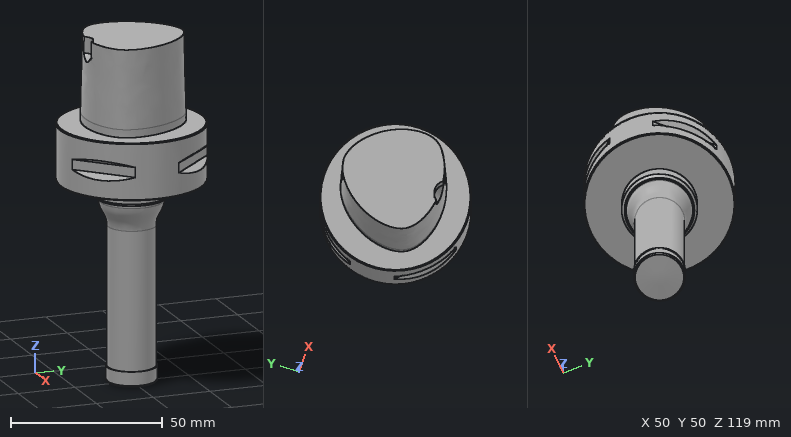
import cadquery as cq
import math

TOTAL_LENGTH = 119.0
FLANGE_TOP_Z = 89.0
FLANGE_BOTTOM_Z = 69.3
COLLAR_CHAMFER_Z = 64.4
NECK_TOP_Z = 63.4
BLEND_TOP_Z = 62.6
SHAFT_TOP_Z = 53.9
HEAD_TOP_Z = 5.6

FLANGE_DIAMETER = 50.0
COLLAR_DIAMETER = 25.0
NECK_DIAMETER = 22.0
SHAFT_DIAMETER = 16.4
FLANGE_CHAMFER = 0.4
COLLAR_CHAMFER_WIDTH = 1.0

LOBE_RADIUS = 17.5
LOBE_HEIGHT = 1.2
LOBE_POINTS = 60
SHANK_BAND_HEIGHT = 2.9
TAPER_RATIO = 1 / 20

GROOVE_COUNT = 4
GROOVE_FIRST_ANGLE = 45.0
GROOVE_CENTER_Z = 79.0
GROOVE_FLOOR_DISTANCE = 22.3
GROOVE_FLOOR_HEIGHT = 3.5
GROOVE_WALL_ANGLE = 31.0

NOTCH_RADIUS = 4.2
NOTCH_FLOOR_Y = -13.7
NOTCH_DEPTH = 5.6

HEAD_DIAMETER = 17.0
HEAD_CHAMFER_WIDTH = 0.5
HEAD_CHAMFER_TOP = 0.8
HEAD_CONE_HEIGHT = 0.4


def turned_body():
    """Flange, collar, curved neck and shaft as one revolved profile."""
    flange_radius = FLANGE_DIAMETER / 2
    collar_radius = COLLAR_DIAMETER / 2
    neck_radius = NECK_DIAMETER / 2
    shaft_radius = SHAFT_DIAMETER / 2
    along_axis = (0, -1)
    return (
        cq.Workplane("XZ")
        .moveTo(0, FLANGE_TOP_Z)
        .lineTo(flange_radius - FLANGE_CHAMFER, FLANGE_TOP_Z)
        .lineTo(flange_radius, FLANGE_TOP_Z - FLANGE_CHAMFER)
        .lineTo(flange_radius, FLANGE_BOTTOM_Z + FLANGE_CHAMFER)
        .lineTo(flange_radius - FLANGE_CHAMFER, FLANGE_BOTTOM_Z)
        .lineTo(collar_radius, FLANGE_BOTTOM_Z)
        .lineTo(collar_radius, COLLAR_CHAMFER_Z)
        .lineTo(collar_radius - COLLAR_CHAMFER_WIDTH, NECK_TOP_Z)
        .lineTo(neck_radius, NECK_TOP_Z)
        .lineTo(neck_radius, BLEND_TOP_Z)
        .spline([(shaft_radius, SHAFT_TOP_Z)], tangents=[along_axis, along_axis], includeCurrent=True)
        .lineTo(shaft_radius, HEAD_TOP_Z)
        .lineTo(0, HEAD_TOP_Z)
        .close()
        .revolve(360, (0, 0, 0), (0, 1, 0))
    )


def lobed_outline(radius, z):
    """Closed three-lobed curve of constant width at height z, with one lobe pointing along +Y."""
    points = []
    for index in range(LOBE_POINTS):
        angle = 2 * math.pi * index / LOBE_POINTS
        distance = radius + LOBE_HEIGHT * math.cos(3 * angle)
        change = -3 * LOBE_HEIGHT * math.sin(3 * angle)
        x = distance * math.sin(angle) + change * math.cos(angle)
        y = distance * math.cos(angle) - change * math.sin(angle)
        points.append(cq.Vector(x, y, z))
    return cq.Wire.assembleEdges([cq.Edge.makeSpline(points, periodic=True)])


def lobed_shank():
    """Straight band at the flange, then a taper up to the end face."""
    taper_start_z = FLANGE_TOP_Z + SHANK_BAND_HEIGHT
    end_radius = LOBE_RADIUS - (TOTAL_LENGTH - taper_start_z) * TAPER_RATIO / 2
    band_outline = lobed_outline(LOBE_RADIUS, FLANGE_TOP_Z)
    band = cq.Solid.extrudeLinear(band_outline, [], cq.Vector(0, 0, SHANK_BAND_HEIGHT))
    taper = cq.Solid.makeLoft(
        [lobed_outline(LOBE_RADIUS, taper_start_z), lobed_outline(end_radius, TOTAL_LENGTH)], True
    )
    return cq.Workplane(band).union(cq.Workplane(taper))


def shank_notch():
    """Drilled pocket with a 90 degree conical bottom, open to the -Y side."""
    shoulder_z = TOTAL_LENGTH - NOTCH_DEPTH
    return (
        cq.Workplane("XZ")
        .polyline([
            (0, TOTAL_LENGTH),
            (NOTCH_RADIUS, TOTAL_LENGTH),
            (NOTCH_RADIUS, shoulder_z),
            (0, shoulder_z - NOTCH_RADIUS),
        ])
        .close()
        .revolve(360, (0, 0, 0), (0, 1, 0))
        .translate((0, NOTCH_FLOOR_Y - NOTCH_RADIUS, 0))
    )


def gripper_groove(angle):
    """Straight flat-bottomed groove with sloping walls, turned to the given angle."""
    outer_distance = FLANGE_DIAMETER / 2
    depth = outer_distance - GROOVE_FLOOR_DISTANCE
    floor_half = GROOVE_FLOOR_HEIGHT / 2
    mouth_half = floor_half + depth * math.tan(math.radians(GROOVE_WALL_ANGLE))
    return (
        cq.Workplane("XZ")
        .polyline([
            (GROOVE_FLOOR_DISTANCE, GROOVE_CENTER_Z - floor_half),
            (outer_distance, GROOVE_CENTER_Z - mouth_half),
            (outer_distance, GROOVE_CENTER_Z + mouth_half),
            (GROOVE_FLOOR_DISTANCE, GROOVE_CENTER_Z + floor_half),
        ])
        .close()
        .extrude(FLANGE_DIAMETER / 2, both=True)
        .rotate((0, 0, 0), (0, 0, 1), angle)
    )


def make_holder():
    """Tool holder: lobed shank, grooved flange, collar and long shaft."""
    holder = turned_body().union(lobed_shank()).cut(shank_notch())
    for index in range(GROOVE_COUNT):
        holder = holder.cut(gripper_groove(GROOVE_FIRST_ANGLE + index * 360 / GROOVE_COUNT))
    return holder


def make_reamer_head():
    """Short head on the end of the shaft, with a chamfer and a shallow cone."""
    head_radius = HEAD_DIAMETER / 2
    return (
        cq.Workplane("XZ")
        .polyline([
            (0, 0),
            (head_radius - HEAD_CHAMFER_WIDTH, HEAD_CONE_HEIGHT),
            (head_radius, HEAD_CHAMFER_TOP),
            (head_radius, HEAD_TOP_Z),
            (0, HEAD_TOP_Z),
        ])
        .close()
        .revolve(360, (0, 0, 0), (0, 1, 0))
    )


holder = make_holder()
reamer_head = make_reamer_head()

result = cq.Compound.makeCompound([holder.solids().val(), reamer_head.val()])